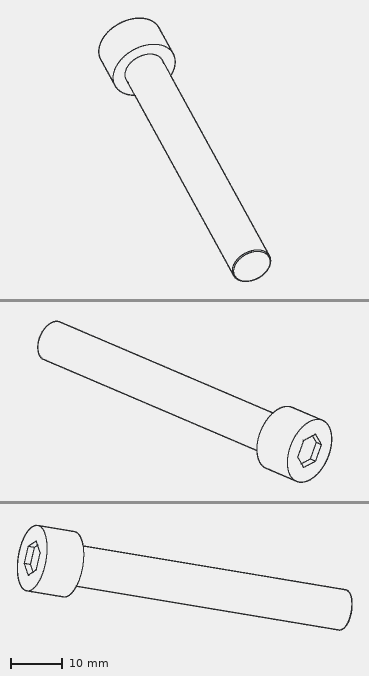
import cadquery as cq
import math

total_length = 68.0
head_diameter = 13.0
shank_diameter = 8.0
head_length = shank_diameter
shank_length = total_length - head_length
tip_chamfer = 0.2

socket_across_flats = 6.0
socket_across_corners = socket_across_flats / math.cos(math.radians(30))
socket_depth = 1.35


def make_head():
    """Cylindrical head with its bearing face at X = 0."""
    return cq.Workplane("YZ").circle(head_diameter / 2).extrude(-head_length)


def make_shank():
    """Plain shank with a small chamfer at the tip."""
    shank = cq.Workplane("YZ").circle(shank_diameter / 2).extrude(shank_length)
    return shank.faces(">X").edges().chamfer(tip_chamfer)


def make_socket():
    """Hexagonal prism removed from the outer face of the head."""
    outer_face = cq.Workplane("YZ", origin=(-head_length, 0, 0))
    return outer_face.polygon(6, socket_across_corners).extrude(socket_depth)


result = make_head().union(make_shank()).cut(make_socket())